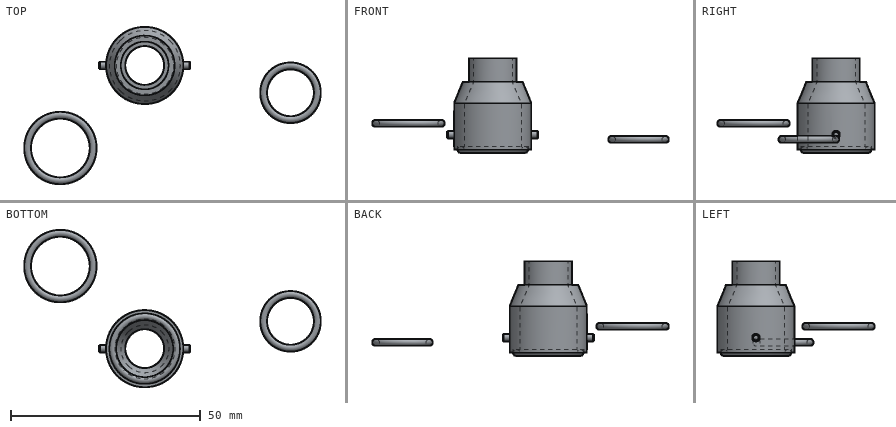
import cadquery as cq

body_diameter = 20.4
shoulder_diameter = 15.8
neck_diameter = 12.6
neck_bore_diameter = 10.2
body_bore_diameter = 15.0
seat_diameter = 18.6

base_z = 0.9
cone_start_z = 13.15
shoulder_z = 18.8
top_z = 25.0

pin_diameter = 2.0
pin_tip_radius = 12.05
pin_chamfer = 0.3
pin_z = 4.85
pin_root_radius = (body_bore_diameter + body_diameter) / 4

seal_section = (seat_diameter - body_bore_diameter) / 2
seal_z = seal_section / 2
seat_top_z = seal_section

ring_section = 1.9
large_ring_diameter = 19.2
large_ring_center = (-22.2, -21.75, 7.8)
small_ring_diameter = 16.05
small_ring_center = (38.4, -7.2, 3.6)


def make_shell():
    """Revolve the half section of the wall, from the base up the outside and down the bore."""
    section = [
        (seat_diameter / 2, base_z),
        (body_diameter / 2, base_z),
        (body_diameter / 2, cone_start_z),
        (shoulder_diameter / 2, shoulder_z),
        (neck_diameter / 2, shoulder_z),
        (neck_diameter / 2, top_z),
        (neck_bore_diameter / 2, top_z),
        (neck_bore_diameter / 2, shoulder_z),
        (body_bore_diameter / 2, cone_start_z),
        (body_bore_diameter / 2, seat_top_z),
        (seat_diameter / 2, seat_top_z),
    ]
    return cq.Workplane("XZ").polyline(section).close().revolve(360, (0, 0), (0, 1))


def make_pin(side):
    """Make one chamfered pin; side is +1 for +X and -1 for -X."""
    pin = (
        cq.Workplane("YZ", origin=(side * pin_root_radius, 0, pin_z))
        .circle(pin_diameter / 2)
        .extrude(side * (pin_tip_radius - pin_root_radius))
    )
    return pin.faces(">X" if side > 0 else "<X").chamfer(pin_chamfer)


def make_housing():
    housing = make_shell()
    for side in (-1, 1):
        housing = housing.union(make_pin(side))
    return housing


def make_ring(outer_diameter, section_diameter, center):
    """Make an O-ring lying flat, with its centre at the given point."""
    section_radius = section_diameter / 2
    centerline_radius = outer_diameter / 2 - section_radius
    return cq.Workplane(cq.Solid.makeTorus(centerline_radius, section_radius, cq.Vector(*center)))


housing = make_housing()
seal_ring = make_ring(seat_diameter, seal_section, (0, 0, seal_z))
large_ring = make_ring(large_ring_diameter, ring_section, large_ring_center)
small_ring = make_ring(small_ring_diameter, ring_section, small_ring_center)

result = cq.Compound.makeCompound(
    [housing.val(), seal_ring.val(), large_ring.val(), small_ring.val()]
)